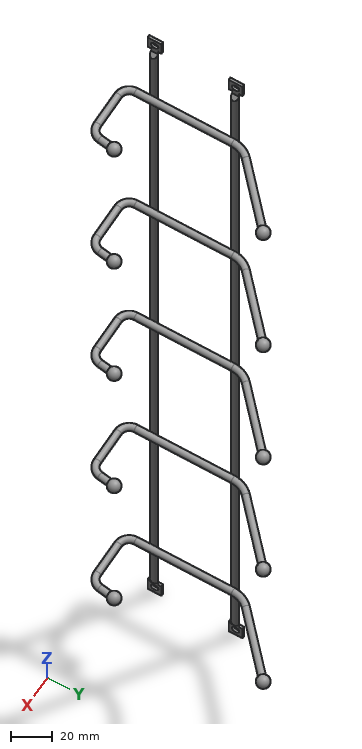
import cadquery as cq
import math

RAIL_LENGTH = 516.0
RAIL_DIAMETER = 4.0
RAIL_SPACING = 45.5
TAB_LENGTH = 9.0
TAB_WIDTH = 7.5
TAB_THICKNESS = 1.5
TAB_HOLE_DIAMETER = 4.0
TAB_HOLE_FROM_END = 4.5
FLAT_LENGTH = 13.0
TAPER_LENGTH = 2.0

HOOK_COUNT = 5
OUTER_HOOK_FROM_END = 48.0
HOOK_SPACING = (RAIL_LENGTH - 2 * OUTER_HOOK_FROM_END) / (HOOK_COUNT - 1)
WIRE_DIAMETER = 4.0
BALL_DIAMETER = 7.0
BEND_RADIUS = 6.0
ARM_BEND_RADIUS = 13.5

ARM_CORNER_Y = 30.0
ARM_TIP_X = 41.5
ARM_TIP_Y = 62.5
FOOT_Y = -36.5
FOOT_CORNER_X = 36.5
LIP_TIP_X = 38.5
LIP_TIP_Y = -22.5

WIRE_X = RAIL_DIAMETER + WIRE_DIAMETER / 2


def make_rail(y):
    """Bar with its back on the plane X = 0, thinned at both ends to wider drilled tabs."""
    radius = RAIL_DIAMETER / 2
    rail_end = RAIL_LENGTH / 2
    bar_end = rail_end - FLAT_LENGTH
    taper_end = bar_end + TAPER_LENGTH
    side_outline = [
        (0, -rail_end),
        (TAB_THICKNESS, -rail_end),
        (TAB_THICKNESS, -taper_end),
        (RAIL_DIAMETER, -bar_end),
        (RAIL_DIAMETER, bar_end),
        (TAB_THICKNESS, taper_end),
        (TAB_THICKNESS, rail_end),
        (0, rail_end),
    ]
    bar = cq.Workplane("XY").center(radius, 0).circle(radius).extrude(rail_end, both=True)
    envelope = cq.Workplane("XZ").polyline(side_outline).close().extrude(radius, both=True)
    rail = bar.intersect(envelope)

    for end in (-1, 1):
        tab_z = end * (RAIL_LENGTH - TAB_LENGTH) / 2
        hole_z = end * (rail_end - TAB_HOLE_FROM_END)
        tab = cq.Workplane("XY").box(TAB_THICKNESS, TAB_WIDTH, TAB_LENGTH, centered=(False, True, True))
        hole = cq.Workplane("YZ").center(0, hole_z).circle(TAB_HOLE_DIAMETER / 2).extrude(TAB_THICKNESS)
        rail = rail.union(tab.translate((0, 0, tab_z))).cut(hole)
    return rail.translate((0, y, 0))


def bend(before, corner, after, radius):
    """Start, middle and end of the arc that rounds a corner of the centre line."""
    to_before = (before - corner).normalized()
    to_after = (after - corner).normalized()
    half_angle = to_before.getAngle(to_after) / 2
    tangent = radius / math.tan(half_angle)
    middle = radius / math.sin(half_angle) - radius
    bisector = (to_before + to_after).normalized()
    return corner + to_before * tangent, corner + bisector * middle, corner + to_after * tangent


def make_hook(z):
    """Wire swept along its bent centre line, with a ball on both tips."""
    arm_tip = cq.Vector(ARM_TIP_X, ARM_TIP_Y)
    arm_corner = cq.Vector(WIRE_X, ARM_CORNER_Y)
    foot_back = cq.Vector(WIRE_X, FOOT_Y)
    foot_front = cq.Vector(FOOT_CORNER_X, FOOT_Y)
    lip_tip = cq.Vector(LIP_TIP_X, LIP_TIP_Y)

    path = cq.Workplane("XY").moveTo(arm_tip.x, arm_tip.y)
    bends = [
        bend(arm_tip, arm_corner, foot_back, ARM_BEND_RADIUS),
        bend(arm_corner, foot_back, foot_front, BEND_RADIUS),
        bend(foot_back, foot_front, lip_tip, BEND_RADIUS),
    ]
    for start, middle, end in bends:
        path = path.lineTo(start.x, start.y)
        path = path.threePointArc((middle.x, middle.y), (end.x, end.y))
    path = path.lineTo(lip_tip.x, lip_tip.y)

    start_plane = cq.Plane(origin=arm_tip, xDir=(0, 0, 1), normal=arm_corner - arm_tip)
    hook = cq.Workplane(start_plane).circle(WIRE_DIAMETER / 2).sweep(path)
    for tip, neighbour in ((arm_tip, arm_corner), (lip_tip, foot_front)):
        ball_plane = cq.Plane(origin=tip, xDir=(0, 0, 1), normal=tip - neighbour)
        hook = hook.union(cq.Workplane(ball_plane).sphere(BALL_DIAMETER / 2))
    return hook.translate((0, 0, z))


rails = [make_rail(side * RAIL_SPACING / 2) for side in (-1, 1)]
hooks = [make_hook(OUTER_HOOK_FROM_END - RAIL_LENGTH / 2 + i * HOOK_SPACING) for i in range(HOOK_COUNT)]

result = cq.Compound.makeCompound([body.val() for body in rails + hooks])